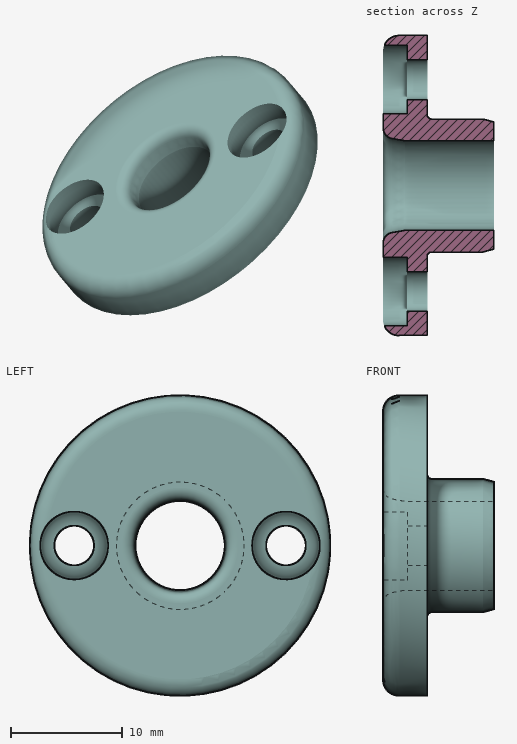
import cadquery as cq
import math

flange_diameter = 27.0
flange_thickness = 4.0
rim_radius = 1.48

total_length = 10.0
boss_diameter = 12.0
boss_root_radius = 0.38
boss_chamfer_length = 1.0
boss_chamfer_depth = 0.27

bore_diameter = 8.0
lead_in_depth = 2.0
lead_in_angle = 10.0
mouth_radius = 1.0

screw_spacing = 19.0
screw_hole_diameter = 3.55
counterbore_diameter = 6.1
counterbore_depth = 2.2


def x_cylinder(diameter, length):
    """Solid cylinder along +X, starting at X = 0."""
    return cq.Workplane("YZ").circle(diameter / 2).extrude(length)


def make_flange():
    return x_cylinder(flange_diameter, flange_thickness).faces("<X").edges().fillet(rim_radius)


def make_boss():
    """Boss with a tapered end, starting at the front face so that it overlaps the flange."""
    boss = x_cylinder(boss_diameter, total_length)
    return boss.faces(">X").edges().chamfer(boss_chamfer_length, boss_chamfer_depth)


def round_boss_root(body):
    root_edge = cq.selectors.RadiusNthSelector(0)
    return body.faces("|X").faces("<X[1]").edges(root_edge).fillet(boss_root_radius)


def cut_bore(body):
    bore_radius = bore_diameter / 2
    lead_in_radius = bore_radius + lead_in_depth * math.tan(math.radians(lead_in_angle))
    bore = (
        cq.Workplane("XY")
        .lineTo(0, lead_in_radius)
        .lineTo(lead_in_depth, bore_radius)
        .lineTo(total_length, bore_radius)
        .lineTo(total_length, 0)
        .close()
        .revolve(axisStart=(0, 0, 0), axisEnd=(1, 0, 0))
    )
    mouth_edge = cq.selectors.RadiusNthSelector(0)
    return body.cut(bore).faces("<X").edges(mouth_edge).fillet(mouth_radius)


def cut_screw_holes(body):
    hole = x_cylinder(screw_hole_diameter, flange_thickness)
    hole = hole.union(x_cylinder(counterbore_diameter, counterbore_depth))
    for side in (-1, 1):
        body = body.cut(hole.translate((0, side * screw_spacing / 2, 0)))
    return body


result = make_flange().union(make_boss())
result = round_boss_root(result)
result = cut_bore(result)
result = cut_screw_holes(result)